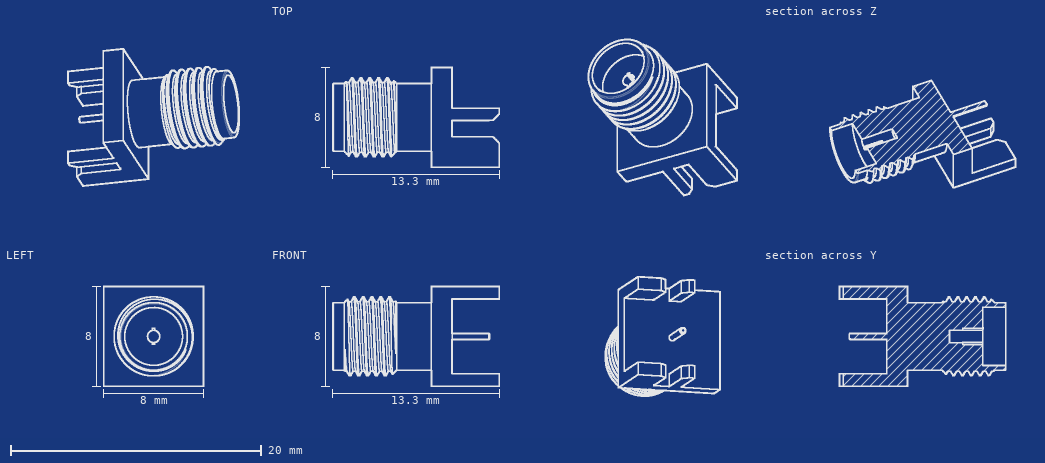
import cadquery as cq
length = 13.3
flange_size = 8.0
flange_front = 7.86
flange_back = 9.52

barrel_radius = 2.71
rim_radius = 0.08
bore_radius = 2.31
bore_depth = 1.84

contact_radius = 0.64
contact_hole_radius = 0.49
contact_hole_depth = 2.66
slot_width = 0.21
slot_depth = 1.6
pin_radius = 0.25
pin_end = 12.53
pin_chamfer = 0.08

thread_start = 0.89
thread_end = 5.1
root_radius = 2.79
crest_radius = 3.17
pitch = 0.7
crest_width = 0.09
groove_root_width = 0.2
thread_phase = 0.47

leg_thickness = 1.02
narrow_leg_top = 0.75
narrow_leg_bottom = -0.24
wide_leg_top = -1.54
leg_chamfer = 0.5


def cylinder(radius, start, end):
    """Solid cylinder along X between two stations."""
    return cq.Workplane("YZ").workplane(offset=start).circle(radius).extrude(end - start)


def make_thread():
    """Right-hand thread: a helical V ridge on a root sleeve, both trimmed to chamfered ends."""
    overlap = 0.04
    clear_radius = crest_radius + overlap
    end_chamfer = clear_radius - barrel_radius
    flank = (pitch - groove_root_width - crest_width) / (2 * (crest_radius - root_radius))
    half_crest = crest_width / 2
    half_base = half_crest + flank * (crest_radius - root_radius + overlap)
    base_radius = root_radius - overlap
    first_turn = thread_start + thread_phase - 2 * pitch
    run = thread_end + pitch - first_turn
    path = cq.Wire.makeHelix(pitch, run, root_radius)
    ridge = (
        cq.Workplane("XZ")
        .polyline([
            (base_radius, -half_base),
            (crest_radius, -half_crest),
            (crest_radius, half_crest),
            (base_radius, half_base),
        ])
        .close()
        .sweep(cq.Workplane(path), isFrenet=True)
        .rotate((0, 0, 0), (0, 1, 0), 90)
        .translate((first_turn, 0, 0))
    )
    envelope = (
        cq.Workplane("XY")
        .polyline([
            (thread_start, 0),
            (thread_start, barrel_radius),
            (thread_start + end_chamfer, clear_radius),
            (thread_end - end_chamfer, clear_radius),
            (thread_end, barrel_radius),
            (thread_end, 0),
        ])
        .close()
        .revolve(360, (0, 0, 0), (1, 0, 0))
    )
    sleeve = cylinder(root_radius, first_turn - pitch, thread_end + 2 * pitch)
    return sleeve.union(ridge).intersect(envelope)


def make_leg(points, bottom):
    """Flat leg of the given XY outline, standing on the level given by bottom."""
    return cq.Workplane("XY").workplane(offset=bottom).polyline(points).close().extrude(leg_thickness)


def make_flange():
    """Square flange with a narrow and a wide leg behind its top and bottom edges."""
    half = flange_size / 2
    flange = cq.Workplane("XY").box(flange_back - flange_front, flange_size, flange_size)
    flange = flange.translate(((flange_front + flange_back) / 2, 0, 0))
    narrow_leg = [
        (flange_front, narrow_leg_top),
        (length, narrow_leg_top),
        (length, narrow_leg_bottom + leg_chamfer),
        (length - leg_chamfer, narrow_leg_bottom),
        (flange_front, narrow_leg_bottom),
    ]
    wide_leg = [
        (flange_front, wide_leg_top),
        (length - leg_chamfer, wide_leg_top),
        (length, wide_leg_top - leg_chamfer),
        (length, -half),
        (flange_front, -half),
    ]
    for bottom in (-half, half - leg_thickness):
        flange = flange.union(make_leg(narrow_leg, bottom))
        flange = flange.union(make_leg(wide_leg, bottom))
    return flange


def make_socket():
    """Space inside the barrel: the bore, the contact hole and the slot across the contact."""
    bore = cylinder(bore_radius, 0, bore_depth)
    hole = cylinder(contact_hole_radius, 0, bore_depth + contact_hole_depth)
    slot = (
        cq.Workplane("YZ")
        .workplane(offset=bore_depth)
        .rect(slot_width, 2 * contact_radius)
        .extrude(slot_depth)
    )
    return bore.union(hole).union(slot)


barrel = cylinder(barrel_radius, 0, flange_back).faces("<X").edges().fillet(rim_radius)
pin = cylinder(pin_radius, flange_front, pin_end).faces(">X").chamfer(pin_chamfer)
result = barrel.union(make_thread()).union(make_flange()).union(pin)
result = result.cut(make_socket())